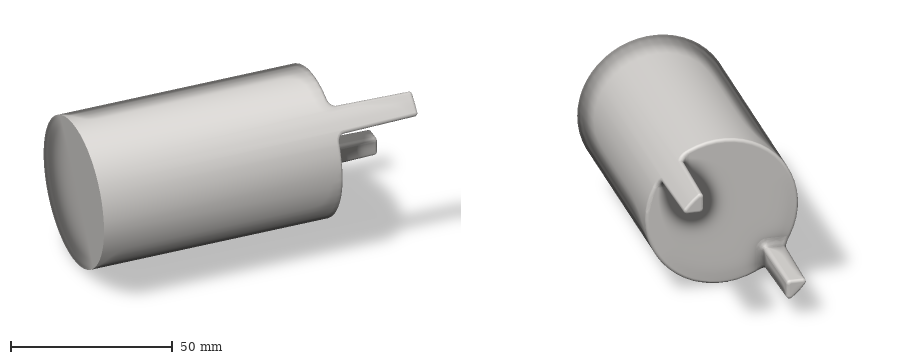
import cadquery as cq
import math

diameter = 49.0
total_length = 107.0
body_length = 80.0

prong_inset = 12.8
prong_draft = 1.0
root_radius = 2.1
corner_radius = 1.3
edge_radius = 1.1
tip_radius = 1.0

stock_half_width = diameter
wedge_reach = 0.75 * diameter

radius = diameter / 2
prong_length = total_length - body_length
tip_inset = prong_inset + prong_length * math.tan(math.radians(prong_draft))
SMALL = 0.01


def corner_square(plane_y, inset):
    """Square in the +X +Z quadrant whose inner corner lies at (inset, inset)."""
    side = wedge_reach - inset
    center = inset + side / 2
    return cq.Workplane("XZ", origin=(0, plane_y, 0)).center(center, center).rect(side, side).wires().val()


def prong_wedge():
    """Drafted wedge in the +X +Z quadrant with its inner corner rounded."""
    wedge = cq.Solid.makeLoft(
        [corner_square(body_length, prong_inset), corner_square(total_length, tip_inset)], True
    )
    inner_corner = cq.selectors.BoxSelector(
        (prong_inset - SMALL, body_length, prong_inset - SMALL),
        (tip_inset + SMALL, total_length, tip_inset + SMALL),
    )
    return cq.Workplane(wedge).edges(inner_corner).fillet(corner_radius)


def is_root_edge(edge):
    """True where a wedge meets the rear face of the stock."""
    box = edge.BoundingBox()
    in_rear_plane = box.ymax - body_length < SMALL and body_length - box.ymin < SMALL
    middle = edge.positionAt(0.5)
    return in_rear_plane and max(abs(middle.x), abs(middle.z)) < stock_half_width - SMALL


def stepped_stock():
    """Oversize block with two opposite wedges, blended into it at their roots."""
    block = cq.Workplane("XZ").rect(2 * stock_half_width, 2 * stock_half_width).extrude(-body_length)
    wedge = prong_wedge()
    opposite_wedge = wedge.rotate((0, 0, 0), (0, 1, 0), 180)
    stock = block.union(wedge).union(opposite_wedge)
    return stock.newObject([e for e in stock.edges().vals() if is_root_edge(e)]).fillet(root_radius)


def is_outer_edge(edge):
    """True for edges behind the body that lie on the bar surface: rear rim and outer prong edges."""
    on_surface = all(
        abs(math.hypot(point.x, point.z) - radius) < SMALL for point in edge.positions((0, 0.5, 1))
    )
    return on_surface and edge.BoundingBox().ymin > body_length - SMALL


def is_tip_edge(edge):
    """True for edges in the plane of the prong tips."""
    return edge.BoundingBox().ymin > total_length - SMALL


def round_edges(solid):
    """Round the rim together with the prong sides, then the prong tips."""
    sides = [e for e in solid.edges().vals() if is_outer_edge(e) and not is_tip_edge(e)]
    solid = solid.newObject(sides).fillet(edge_radius)
    tips = [e for e in solid.edges().vals() if is_tip_edge(e)]
    return solid.newObject(tips).fillet(tip_radius)


bar = cq.Workplane("XZ").circle(radius).extrude(-total_length)
result = round_edges(bar.intersect(stepped_stock()))